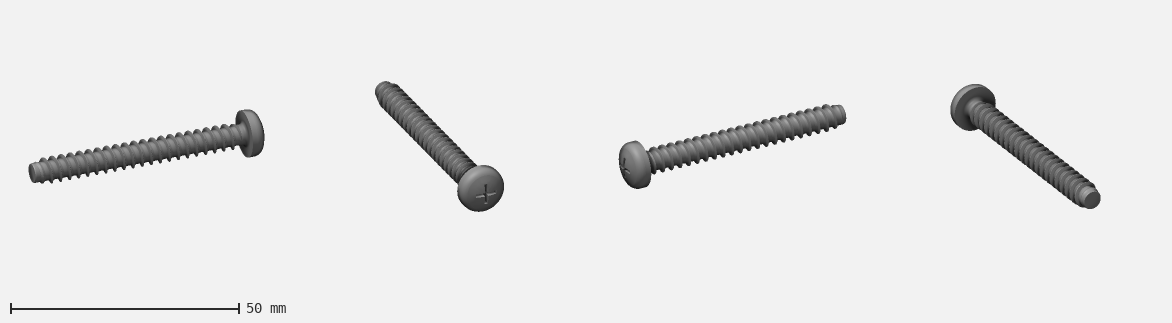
import cadquery as cq
import math


total_length = 54.1
shank_length = 50.0
crown_trim = 0.0185
crown_top = total_length + crown_trim

head_radius = 5.25
rim_height = 1.35
dome_edge_radius = 1.95
dome_height = crown_top - shank_length - rim_height

recess_span = 4.85
recess_wing_width = 0.8
recess_depth = 2.15

core_radius = 2.19
neck_radius = 2.35
neck_length = 1.35
neck_taper_length = 0.45
neck_fillet = 0.75
tip_radius = 2.085
tip_taper_length = 0.2

thread_radius = 3.005
thread_pitch = 2.14
thread_crest_width = 0.1
tip_side_root = 0.3
head_side_root = 0.8
skirt_radius = 2.4
skirt_width_start = 0.3
thread_embed = 0.1
first_full_crest = 3.75
thread_start = first_full_crest - 2 * thread_pitch
tip_fade_start = 0.8
tip_fade_length = 2.2
head_fade_gap = 1.15
head_fade_length = 1.8
end_turns = 3
fade_clearance = 0.25


def make_blank():
    """Head and plain shank, revolved from one half outline."""
    edge_centre_r = head_radius - dome_edge_radius
    crown_radius = (edge_centre_r**2 + dome_height**2 - dome_edge_radius**2) / (
        2 * (dome_height - dome_edge_radius)
    )
    rim_top = shank_length + rim_height
    crown_centre_z = crown_top - crown_radius
    joint_angle = math.asin(edge_centre_r / (crown_radius - dome_edge_radius))

    def arc_point(centre_r, centre_z, radius, angle):
        """Point on an arc, with the angle measured from the screw axis."""
        return (centre_r + radius * math.sin(angle), centre_z + radius * math.cos(angle))

    edge_middle = arc_point(edge_centre_r, rim_top, dome_edge_radius, (joint_angle + math.pi / 2) / 2)
    joint = arc_point(0, crown_centre_z, crown_radius, joint_angle)
    crown_middle = arc_point(0, crown_centre_z, crown_radius, joint_angle / 2)

    neck_bottom = shank_length - neck_length
    outline = (
        cq.Workplane("XZ")
        .lineTo(tip_radius, 0)
        .lineTo(core_radius, tip_taper_length)
        .lineTo(core_radius, neck_bottom - neck_taper_length)
        .lineTo(neck_radius, neck_bottom)
        .lineTo(neck_radius, shank_length - neck_fillet)
        .radiusArc((neck_radius + neck_fillet, shank_length), neck_fillet)
        .lineTo(head_radius, shank_length)
        .lineTo(head_radius, rim_top)
        .threePointArc(edge_middle, joint)
        .threePointArc(crown_middle, (0, crown_top))
        .close()
    )
    return outline.revolve(360, (0, 0, 0), (0, 1, 0))


def make_ridge(first_turn, last_turn):
    """Right-handed helical ridge of full height between two turn counts.

    Turns are counted up from the +X crest just below the tip.
    """
    height = (last_turn - first_turn) * thread_pitch
    helix = cq.Wire.makeHelix(thread_pitch, height, core_radius)

    inner_radius = core_radius - thread_embed
    crest_half_width = thread_crest_width / 2
    tip_side_slope = (tip_side_root - crest_half_width) / (thread_radius - core_radius)
    skirt_slope = (head_side_root - skirt_width_start) / (skirt_radius - core_radius)
    return (
        cq.Workplane("XZ")
        .moveTo(inner_radius, -tip_side_root - tip_side_slope * thread_embed)
        .lineTo(thread_radius, -crest_half_width)
        .lineTo(thread_radius, crest_half_width)
        .lineTo(skirt_radius, skirt_width_start)
        .lineTo(inner_radius, head_side_root + skirt_slope * thread_embed)
        .close()
        .sweep(cq.Workplane(obj=helix), isFrenet=True)
        .translate((0, 0, thread_start + first_turn * thread_pitch))
    )


def make_fade_cutter(vanish_z, full_z):
    """Ring with a conical bore that lowers the ridge from full_z to nothing at vanish_z."""
    run_per_radius = (full_z - vanish_z) / (thread_radius - core_radius)
    bore_small_radius = core_radius - thread_embed - fade_clearance
    bore_large_radius = thread_radius + fade_clearance
    small_z = vanish_z - run_per_radius * (core_radius - bore_small_radius)
    large_z = full_z + run_per_radius * fade_clearance
    outer_z = vanish_z - math.copysign(2 * thread_pitch, full_z - vanish_z)
    return (
        cq.Workplane("XZ")
        .moveTo(0, small_z)
        .lineTo(bore_small_radius, small_z)
        .lineTo(bore_large_radius, large_z)
        .lineTo(head_radius, large_z)
        .lineTo(head_radius, outer_z)
        .lineTo(0, outer_z)
        .close()
        .revolve(360, (0, 0, 0), (0, 1, 0))
    )


def add_thread(blank):
    """Thread in three stretches: a fading one at each end and a full one between."""
    vanish_top = shank_length - head_fade_gap
    last_turn = math.floor((vanish_top - thread_start) / thread_pitch)
    tip_stretch = make_ridge(0, end_turns).cut(
        make_fade_cutter(tip_fade_start, tip_fade_start + tip_fade_length)
    )
    head_stretch = make_ridge(last_turn - end_turns, last_turn).cut(
        make_fade_cutter(vanish_top, vanish_top - head_fade_length)
    )
    full_stretch = make_ridge(end_turns, last_turn - end_turns)
    return blank.union(full_stretch).union(tip_stretch).union(head_stretch)


def make_recess():
    """Cross recess cut down from the crown of the head."""
    floor = cq.Workplane("XY").workplane(offset=crown_top - recess_depth)
    wing_x = floor.rect(recess_span, recess_wing_width).extrude(recess_depth)
    wing_y = floor.rect(recess_wing_width, recess_span).extrude(recess_depth)
    return wing_x.union(wing_y)


screw = add_thread(make_blank()).cut(make_recess())
result = screw.rotate((0, 0, 0), (1, 0, 0), -90)